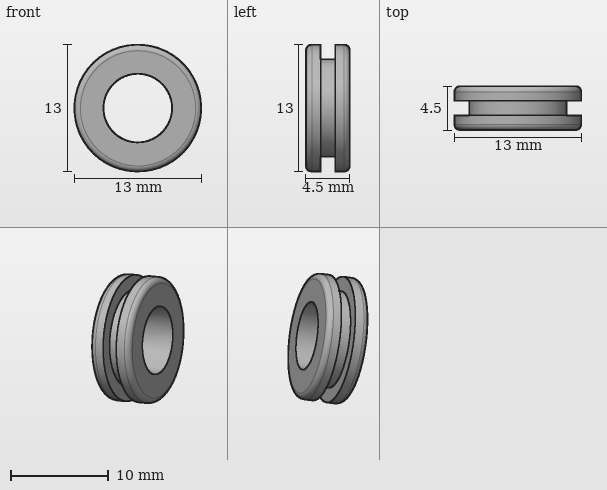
import cadquery as cq

flange_diameter = 13.0
neck_diameter = 10.0
bore_diameter = 7.0
flange_thickness = 1.5
groove_width = 1.5
rim_radius = 0.6

total_width = 2 * flange_thickness + groove_width


def disc(diameter, width):
    """Solid disc on the Y axis, centred on the origin."""
    return cq.Workplane("XZ", origin=(0, width / 2, 0)).circle(diameter / 2).extrude(width)


def rounded_body():
    """Full-width body with both outer rims rounded."""
    return disc(flange_diameter, total_width).edges("%CIRCLE").fillet(rim_radius)


def groove():
    """Ring removed between the flanges to leave the neck."""
    return disc(flange_diameter, groove_width).cut(disc(neck_diameter, groove_width))


bore = disc(bore_diameter, total_width)

result = rounded_body().cut(groove()).cut(bore)